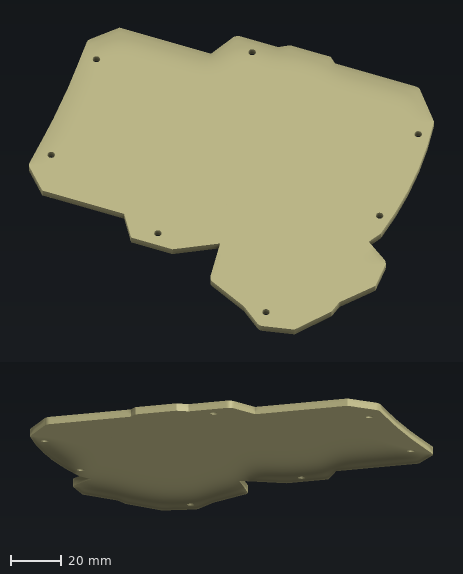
import cadquery as cq

length = 151.6
depth = 139.6
thickness = 3.0
hole_diameter = 3.0
corner_radius = 3.0

body_mid_y = 79.9
body_half_depth = 44.7
side_half_depth = 34.3
chamfer_run = 9.7
side_corner_x = -0.08
body_top = body_mid_y + body_half_depth
body_bottom = body_mid_y - body_half_depth
side_top = body_mid_y + side_half_depth
side_bottom = body_mid_y - side_half_depth

rear_y = 137.0
rear_left_x = 54.7
rear_right_x = 132.6

bulge_mid_y = 91.9
bulge_half_depth = 30.8
bulge_end_x = 144.3
bulge_peak_x = 147.0

lobe_tip_y = -0.25
front_step_y = 24.7

rear_outline = [
    (chamfer_run, body_top),
    (48.7, body_top),
    (rear_left_x, rear_y),
    (72.6, rear_y),
    (76.9, depth),
    (94.1, depth),
    (96.9, rear_y),
    (rear_right_x, rear_y),
    (bulge_end_x, bulge_mid_y + bulge_half_depth),
]
front_outline = [
    (141.3, 55.5),
    (length, 48.0),
    (length, 35.0),
    (141.0, 22.1),
    (139.8, 16.7),
    (129.0, 2.7),
    (115.0, lobe_tip_y),
    (106.0, 7.0),
    (88.2, 15.3),
    (85.8, 34.1),
    (69.0, front_step_y),
    (51.4, front_step_y),
    (44.5, body_bottom),
    (chamfer_run, body_bottom),
    (side_corner_x, side_bottom),
]
waist_steps = [
    (1.0, 8.6),
    (0.8, 16.4),
    (0.68, 18.5),
]
waist_outline = [(inset, body_mid_y - reach) for inset, reach in reversed(waist_steps)]
waist_outline += [(inset, body_mid_y + reach) for inset, reach in waist_steps]

rounded_corners = [
    (side_corner_x, side_top),
    (side_corner_x, side_bottom),
    (rear_left_x, rear_y),
    (rear_right_x, rear_y),
    (length, 48.0),
    (141.0, 22.1),
    (115.0, lobe_tip_y),
    (106.0, 7.0),
    (88.2, 15.3),
]
screw_holes = [
    (6.7, 106.1),
    (6.7, 53.7),
    (63.8, 131.0),
    (140.7, 114.3),
    (140.7, 69.6),
    (60.6, 30.5),
    (115.2, 7.3),
]


def make_plate():
    """Extrude the outline, with an arc for the bulging right edge."""
    outline = cq.Workplane("XY").moveTo(side_corner_x, side_top)
    for point in rear_outline:
        outline = outline.lineTo(*point)
    outline = outline.threePointArc(
        (bulge_peak_x, bulge_mid_y),
        (bulge_end_x, bulge_mid_y - bulge_half_depth),
    )
    for point in front_outline + waist_outline:
        outline = outline.lineTo(*point)
    return outline.close().extrude(thickness)


def round_corners(plate):
    """Round the chosen upright corner edges of the plate."""
    for x, y in rounded_corners:
        corner = cq.selectors.NearestToPointSelector((x, y, thickness / 2))
        plate = plate.edges("|Z").edges(corner).fillet(corner_radius)
    return plate


def drill_holes(plate):
    """Cut the screw holes through the plate."""
    holes = cq.Workplane("XY").pushPoints(screw_holes).circle(hole_diameter / 2).extrude(thickness)
    return plate.cut(holes)


result = drill_holes(round_corners(make_plate()))